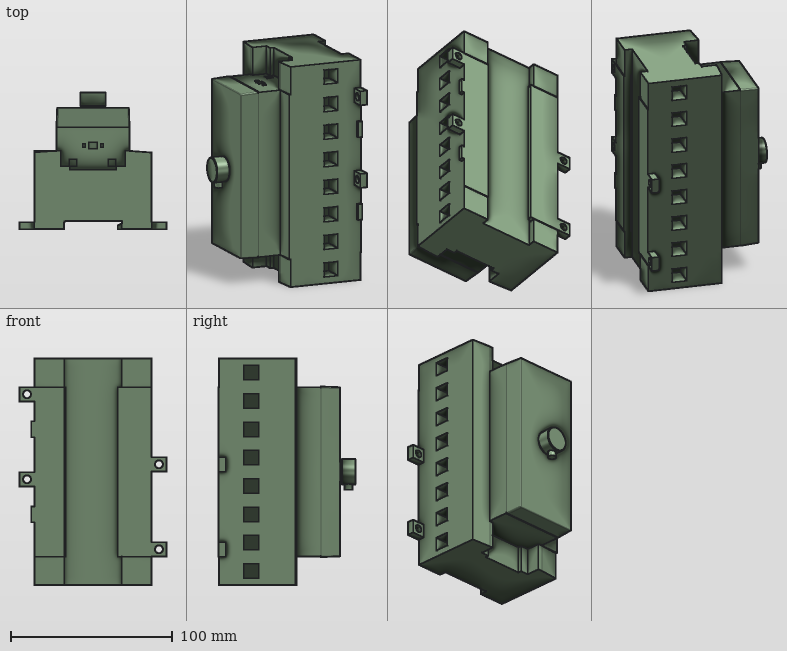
import cadquery as cq

MODULE_COUNT = 8
HEIGHT = 140.0
MODULE_PITCH = HEIGHT / MODULE_COUNT
HALF_WIDTH = 36.3
MIDDLE_HEIGHT = 104.7
END_HEIGHT = (HEIGHT - MIDDLE_HEIGHT) / 2
MIDDLE_TOP = MIDDLE_HEIGHT / 2

SHOULDER_Y = 48.6
SHOULDER_DROP = 1.0
TOWER_HALF_WIDTH = 22.7
TOWER_TOP = 63.3
END_FOOT_Y = 0.4

CHANNEL_HALF_WIDTH = 17.8
CHANNEL_CEILING = 5.2
CHANNEL_BEVEL = 0.8
HOOK_LENGTH = 2.5
HOOK_TIP_Y = 2.7
HOOK_ROOT_Y = 3.6

NOTCH_HALF_WIDTH = 20.0
NOTCH_FLOOR = 39.2
INNER_NOTCH_HALF_WIDTH = 14.3
INNER_NOTCH_FLOOR = 36.8

COVER_OVERHANG = 0.4
COVER_TOP = 75.2
COVER_DRAFT = 2.3
COVER_CORNER_RADIUS = 0.8
COVER_RIM_RADIUS = 0.4

TAB_REACH = 9.2
TAB_HEIGHT = 9.0
TAB_THICKNESS = 4.6
TAB_HOLE_DIAMETER = 4.8
TAB_HOLE_OFFSET = 4.5
TAB_PITCH = 3 * MODULE_PITCH
CLIP_REACH = 2.0
CLIP_HEIGHT = 10.0
CLIP_THICKNESS = 2.8
CLIP_OFFSET = 1.5 * MODULE_PITCH

TERMINAL_SIZE_Y = 9.4
TERMINAL_SIZE_Z = 9.0
TERMINAL_Y = 20.3
TERMINAL_DEPTH = 14.0

RECESS_DEPTH = 1.4
WINDOW_SIZE = (5.0, 4.0)
SLOT_SIZE = (1.5, 2.2)
SLOT_SPACING = 11.3
WINDOW_Y = 52.0
LATCH_SIZE = (4.6, 4.0)
LATCH_SPACING = 24.1
LATCH_CENTER_X = -0.4
LATCH_Y = NOTCH_FLOOR + LATCH_SIZE[1] / 2

KNOB_DIAMETER = 15.8
KNOB_BOTTOM = 76.0
KNOB_TOP = 84.8
KNOB_CHAMFER = 0.4
NECK_DIAMETER = 12.0
PEG_DIAMETER = 5.0
PEG_REACH = 11.2


def box(x_range, y_range, z_range):
    """Axis-aligned block between the given limits."""
    sizes = [high - low for low, high in (x_range, y_range, z_range)]
    corner = (x_range[0], y_range[0], z_range[0])
    return cq.Workplane("XY").box(*sizes, centered=False).translate(corner)


def extrude_outline(points, z_low, z_high):
    return cq.Workplane("XY").workplane(offset=z_low).polyline(points).close().extrude(z_high - z_low)


def middle_section():
    """Six-module section with the rail hook and the raised tower."""
    ceiling_left = CHANNEL_BEVEL - CHANNEL_HALF_WIDTH
    points = [
        (-HALF_WIDTH, 0),
        (-CHANNEL_HALF_WIDTH, 0),
        (-CHANNEL_HALF_WIDTH, CHANNEL_CEILING - CHANNEL_BEVEL),
        (ceiling_left, CHANNEL_CEILING),
        (CHANNEL_HALF_WIDTH, CHANNEL_CEILING),
        (CHANNEL_HALF_WIDTH, HOOK_ROOT_Y),
        (CHANNEL_HALF_WIDTH - HOOK_LENGTH, HOOK_TIP_Y),
        (CHANNEL_HALF_WIDTH - HOOK_LENGTH, 0),
        (HALF_WIDTH, 0),
        (HALF_WIDTH, SHOULDER_Y - SHOULDER_DROP),
        (TOWER_HALF_WIDTH, SHOULDER_Y),
        (TOWER_HALF_WIDTH, TOWER_TOP),
        (-TOWER_HALF_WIDTH, TOWER_TOP),
        (-TOWER_HALF_WIDTH, SHOULDER_Y),
        (-HALF_WIDTH, SHOULDER_Y),
    ]
    return extrude_outline(points, -MIDDLE_TOP, MIDDLE_TOP)


def end_block(z_low):
    """One-module end block: channel below, stepped notch above, mirror-symmetric in X."""
    right_side = [
        (CHANNEL_HALF_WIDTH, CHANNEL_CEILING),
        (CHANNEL_HALF_WIDTH, END_FOOT_Y),
        (HALF_WIDTH, END_FOOT_Y),
        (HALF_WIDTH, SHOULDER_Y - SHOULDER_DROP),
        (TOWER_HALF_WIDTH, SHOULDER_Y),
        (NOTCH_HALF_WIDTH, SHOULDER_Y),
        (NOTCH_HALF_WIDTH, NOTCH_FLOOR),
        (INNER_NOTCH_HALF_WIDTH, NOTCH_FLOOR),
        (INNER_NOTCH_HALF_WIDTH, INNER_NOTCH_FLOOR),
    ]
    left_side = [(-x, y) for x, y in reversed(right_side)]
    return extrude_outline(right_side + left_side, z_low, z_low + END_HEIGHT)


def cover():
    """Drafted cap on the tower, overhanging it slightly at both Z ends."""
    width = 2 * TOWER_HALF_WIDTH
    height = MIDDLE_HEIGHT + 2 * COVER_OVERHANG
    cap = (
        cq.Workplane("XZ", origin=(0, TOWER_TOP, 0))
        .rect(width, height)
        .extrude(TOWER_TOP - COVER_TOP, taper=COVER_DRAFT)
    )
    cap = cap.edges("not(#Y)").fillet(COVER_CORNER_RADIUS)
    return cap.faces(">Y").edges().fillet(COVER_RIM_RADIUS)


def mounting_tab(side, z_low):
    """Drilled tab on the side given by its sign (-1 or 1 along X)."""
    x_limits = sorted((side * HALF_WIDTH, side * (HALF_WIDTH + TAB_REACH)))
    tab = box(x_limits, (0, TAB_THICKNESS), (z_low, z_low + TAB_HEIGHT))
    hole_center = (side * (HALF_WIDTH + TAB_HOLE_OFFSET), 0, z_low + TAB_HEIGHT / 2)
    hole = cq.Workplane("XZ", origin=hole_center).circle(TAB_HOLE_DIAMETER / 2).extrude(-TAB_THICKNESS)
    return tab.cut(hole)


def release_clip(z_center):
    z_limits = (z_center - CLIP_HEIGHT / 2, z_center + CLIP_HEIGHT / 2)
    return box((-HALF_WIDTH - CLIP_REACH, -HALF_WIDTH), (0, CLIP_THICKNESS), z_limits)


def terminal_openings():
    """Pockets in both X sides, one per module on each side."""
    openings = cq.Workplane("XY")
    side_distance = HALF_WIDTH - TERMINAL_DEPTH / 2
    for module in range(MODULE_COUNT):
        z_center = (module + 0.5) * MODULE_PITCH - HEIGHT / 2
        for side in (-1, 1):
            opening = cq.Workplane("XY").box(TERMINAL_DEPTH, TERMINAL_SIZE_Y, TERMINAL_SIZE_Z)
            openings = openings.add(opening.translate((side * side_distance, TERMINAL_Y, z_center)))
    return openings


def end_face_recesses():
    """Window, two slots and two latch recesses in the +Z face of the middle section."""
    recesses = [(0, WINDOW_Y, WINDOW_SIZE)]
    for side in (-1, 1):
        recesses.append((side * SLOT_SPACING / 2, WINDOW_Y, SLOT_SIZE))
        recesses.append((LATCH_CENTER_X + side * LATCH_SPACING / 2, LATCH_Y, LATCH_SIZE))
    cutters = cq.Workplane("XY")
    for x, y, size in recesses:
        cutter = cq.Workplane("XY").box(*size, RECESS_DEPTH)
        cutters = cutters.add(cutter.translate((x, y, MIDDLE_TOP - RECESS_DEPTH / 2)))
    return cutters


def make_housing():
    housing = middle_section()
    for z_low in (-HEIGHT / 2, MIDDLE_TOP):
        housing = housing.union(end_block(z_low))
    housing = housing.union(cover())
    for step in range(2):
        left_tab_z = MIDDLE_TOP - TAB_HEIGHT - step * TAB_PITCH
        right_tab_z = -MIDDLE_TOP + step * TAB_PITCH
        housing = housing.union(mounting_tab(-1, left_tab_z))
        housing = housing.union(mounting_tab(1, right_tab_z))
    for z_center in (-CLIP_OFFSET, CLIP_OFFSET):
        housing = housing.union(release_clip(z_center))
    for cutter in terminal_openings().vals() + end_face_recesses().vals():
        housing = housing.cut(cq.Workplane(cutter))
    return housing.solids()


def make_knob():
    """Round knob on a neck that rests on the cover, with a pointer peg toward -Z."""
    neck = (
        cq.Workplane("XZ", origin=(0, COVER_TOP, 0))
        .circle(NECK_DIAMETER / 2)
        .extrude(COVER_TOP - KNOB_BOTTOM)
    )
    grip = (
        cq.Workplane("XZ", origin=(0, KNOB_BOTTOM, 0))
        .circle(KNOB_DIAMETER / 2)
        .extrude(KNOB_BOTTOM - KNOB_TOP)
        .edges()
        .chamfer(KNOB_CHAMFER)
    )
    peg_y = (KNOB_BOTTOM + KNOB_TOP) / 2
    peg = cq.Workplane("XY", origin=(0, peg_y, 0)).circle(PEG_DIAMETER / 2).extrude(-PEG_REACH)
    return neck.union(grip).union(peg).solids()


housing = make_housing()
knob = make_knob()
result = cq.Compound.makeCompound([housing.val(), knob.val()])